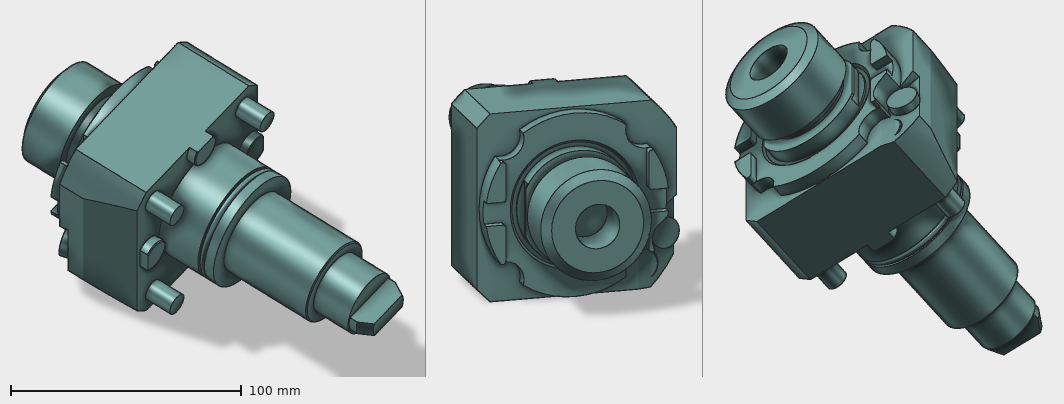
import cadquery as cq
import math


body_front = -38.6
body_half_height = 42.5
body_side_y = 42.5
body_slope_side_y = -47.8
body_rear_slope_y = -42.9
body_slope_start = -25.8
body_corner_radius = 56.0
body_chamfer = 6.0

plate_front = -44.6
plate_radius = 41.5
plate_hub_radius = 36.28
plate_root = -34.0
notch_offset = 32.0
notch_radius = 9.0
bore_radius = 28.1
bore_chamfer = 1.1
tab_front = -48.5
tab_inner_y = 32.4
tab_slot_half_width = 5.2
tab_fillet = 1.2

nut_front = -79.0
nut_rear = -56.5
nut_radius = 25.0
nut_chamfer_length = 2.4
nut_chamfer_depth = 4.2
nut_bore_radius = 10.0
nut_bore_depth = 19.0
neck_radius = 20.0
neck_end = -52.2
throat_radius = 19.2
ring_front = -50.5
ring_radius = 26.2
ring_lip = 1.1
ring_lip_half_width = 23.9
ring_flat_half_width = 22.8

flange_radius = 27.5
flange_length = 29.8
groove_start = 21.3
groove_end = 24.9
groove_depth = 1.2
seal_radius = 1.4
shank_radius = 20.0
shank_end = 74.9
shank_chamfer = 0.5
journal_radius = 15.0
journal_end = 93.7
tang_end = 104.16
tang_radius = 14.2
tang_cone_start = 97.6
tang_end_radius = 10.7
tang_half_thickness = 4.2

pin_radius = 5.0
pin_length = 13.3
key_length = 4.5
key_radius = 7.5
key_flat_half_width = 5.6
key_chamfer = 0.5
key_reach_y = 40.9
key_reach_z = body_half_height

seat_tilt = math.radians(15)
seat_start_y = -30.6
nozzle_y = -41.44
nozzle_z = -17.7
nozzle_radius = 7.0
nozzle_length = 4.1
clearance_radius = 8.75
clearance_y = -42.6
wall_angle = math.radians(42)
bolt_head_radius = 8.0
bolt_head_front = -36.9
bolt_head_chamfer = 0.4

seat_reach = 60.0


def cylinder_x(x_start, x_end, radius, y=0.0, z=0.0):
    """Cylinder along X between two X positions."""
    plane = cq.Workplane("YZ", origin=(x_start, y, z))
    return plane.circle(radius).extrude(x_end - x_start)


def box(x_range, y_range, z_range):
    """Box given by its limits along each axis."""
    lower = (x_range[0], y_range[0], z_range[0])
    size = (x_range[1] - x_range[0], y_range[1] - y_range[0], z_range[1] - z_range[0])
    return cq.Workplane("XY").box(*size, centered=False).translate(lower)


def turned_about_x(profile):
    """Solid turned about the tool axis from a closed (X, radius) profile."""
    outline = cq.Workplane("XY").polyline(profile).close()
    return outline.revolve(360, (0, 0, 0), (1, 0, 0))


def seat_plane():
    """Workplane on the seat at the nozzle: local x runs outward along the seat, local y is Z."""
    nozzle_x = body_front + (seat_start_y - nozzle_y) * math.tan(seat_tilt)
    plane = cq.Plane(
        origin=(nozzle_x, nozzle_y, nozzle_z),
        xDir=(math.sin(seat_tilt), -math.cos(seat_tilt), 0),
        normal=(-math.cos(seat_tilt), -math.sin(seat_tilt), 0),
    )
    return cq.Workplane(plane)


def wall_point(distance):
    """Point on the wall line, measured from where it touches the nozzle clearance circle."""
    return (
        -clearance_radius * math.sin(wall_angle) + distance * math.cos(wall_angle),
        clearance_radius * math.cos(wall_angle) + distance * math.sin(wall_angle),
    )


def make_body():
    """Square body: chamfers on +Y, round and slope on -Y, and the tilted nozzle seat."""
    plan = [
        (body_front, body_side_y),
        (0, body_side_y),
        (0, body_rear_slope_y),
        (body_slope_start, body_slope_side_y),
        (body_front, body_slope_side_y),
    ]
    block = cq.Workplane("XY").polyline(plan).close().extrude(body_half_height, both=True)
    block = block.edges("|X and >Y").chamfer(body_chamfer)
    rounded = cylinder_x(body_front, 0, body_corner_radius)
    plain_half = box((body_front, 0), (0, body_side_y), (-body_half_height, body_half_height))
    block = block.intersect(rounded.union(plain_half))

    seat_outline = [
        wall_point(-seat_reach),
        wall_point(seat_reach),
        (seat_reach, -seat_reach),
        (-seat_reach, -seat_reach),
    ]
    return block.cut(seat_plane().polyline(seat_outline).close().extrude(seat_reach))


def make_plate():
    """Notched front plate with a chamfered mouth and two slotted tabs."""
    plate = cylinder_x(plate_front, plate_root, plate_radius)
    for y in (-notch_offset, notch_offset):
        for z in (-notch_offset, notch_offset):
            plate = plate.cut(cylinder_x(plate_front, plate_root, notch_radius, y, z))
    plate = plate.union(cylinder_x(plate_front, plate_root, plate_hub_radius))
    mouth = cq.Workplane("YZ", origin=(plate_front, 0, 0)).circle(bore_radius + bore_chamfer)
    plate = plate.cut(mouth.workplane(offset=bore_chamfer).circle(bore_radius).loft(ruled=True))

    tab_half_height = notch_offset - notch_radius
    tab_disc = cylinder_x(tab_front, plate_front, plate_radius)
    for z_start in (-tab_half_height, tab_slot_half_width):
        z_range = (z_start, z_start + tab_half_height - tab_slot_half_width)
        tab = box((tab_front, plate_front), (tab_inner_y, plate_radius), z_range)
        tab = tab.edges("|X and <Y").fillet(tab_fillet).intersect(tab_disc)
        plate = plate.union(tab).union(tab.mirror("XZ"))
    return plate


def cut_nozzle_clearance(plate):
    """Clear the plate and one tab around the nozzle, straight along X."""
    clearance = cq.Workplane("YZ", origin=(tab_front, clearance_y, nozzle_z))
    depth = plate_root - tab_front
    inner_corner = wall_point(0)
    outer_corner = wall_point(seat_reach)
    wall_outline = [
        (0, 0),
        (-inner_corner[0], inner_corner[1]),
        (-outer_corner[0], outer_corner[1]),
        (-seat_reach, 0),
    ]
    round_cut = clearance.circle(clearance_radius).extrude(depth)
    return plate.cut(round_cut).cut(clearance.polyline(wall_outline).close().extrude(depth))


def make_nozzle():
    """Round nozzle standing square on the tilted seat."""
    return seat_plane().circle(nozzle_radius).extrude(nozzle_length)


def make_bolt_head():
    """Bolt head that just breaks through the tilted seat."""
    head = cylinder_x(bolt_head_front, plate_root, bolt_head_radius, -notch_offset, -notch_offset)
    return head.faces("<X").chamfer(bolt_head_chamfer)


def make_nose():
    """Clamping nut and the neck behind it, turned about X."""
    profile = [
        (nut_front, 0),
        (nut_front, nut_radius - nut_chamfer_depth),
        (nut_front + nut_chamfer_length, nut_radius),
        (nut_rear, nut_radius),
        (nut_rear, neck_radius),
        (neck_end, neck_radius),
        (neck_end, throat_radius),
        (body_front, throat_radius),
        (body_front, 0),
    ]
    return turned_about_x(profile).cut(cylinder_x(nut_front, nut_front + nut_bore_depth, nut_bore_radius))


def make_ring():
    """Spanner ring with flats on both Y sides and a slightly wider lip in front."""
    lip_end = ring_front + ring_lip
    z_range = (-ring_radius, ring_radius)
    lip = box((ring_front, lip_end), (-ring_lip_half_width, ring_lip_half_width), z_range)
    grip = box((lip_end, plate_front), (-ring_flat_half_width, ring_flat_half_width), z_range)
    seat = box((plate_front, body_front), (-ring_radius, ring_radius), z_range)
    outline = lip.union(grip).union(seat)
    return cylinder_x(ring_front, body_front, ring_radius).intersect(outline)


def make_shank():
    """Locating flange with seal groove, shank and journal, turned about X."""
    groove_floor = flange_radius - groove_depth
    profile = [
        (body_front, 0),
        (body_front, shank_radius),
        (0, shank_radius),
        (0, flange_radius),
        (groove_start, flange_radius),
        (groove_start, groove_floor),
        (groove_end, groove_floor),
        (groove_end, flange_radius),
        (flange_length, flange_radius),
        (flange_length, shank_radius),
        (shank_end - shank_chamfer, shank_radius),
        (shank_end, shank_radius - shank_chamfer),
        (shank_end, journal_radius),
        (journal_end, journal_radius),
        (journal_end, 0),
    ]
    seal_centre = ((groove_start + groove_end) / 2, flange_radius - seal_radius)
    seal = cq.Workplane("XY").moveTo(*seal_centre).circle(seal_radius)
    return turned_about_x(profile).union(seal.revolve(360, (0, 0, 0), (1, 0, 0)))


def make_tang():
    """Flat driving tang with a tapered end."""
    profile = [
        (journal_end, 0),
        (journal_end, tang_radius),
        (tang_cone_start, tang_radius),
        (tang_end, tang_end_radius),
        (tang_end, 0),
    ]
    blade = box(
        (journal_end, tang_end),
        (-tang_radius, tang_radius),
        (-tang_half_thickness, tang_half_thickness),
    )
    return turned_about_x(profile).intersect(blade)


def add_rear_pins(part):
    """Four pins at the corners of the mounting face."""
    for y in (-notch_offset, notch_offset):
        for z in (-notch_offset, notch_offset):
            part = part.union(cylinder_x(0, pin_length, pin_radius, y, z))
    return part


def add_rear_keys(part):
    """Four round buttons, each with a flat on its outward side."""
    flat_offset = math.sqrt(key_radius**2 - key_flat_half_width**2)
    for quarter_turn, reach in enumerate((key_reach_y, key_reach_z) * 2):
        button = cylinder_x(0, key_length, key_radius, reach - flat_offset)
        button = button.faces(">X").chamfer(key_chamfer)
        key = button.intersect(box((0, key_length), (0, reach), (-key_radius, key_radius)))
        part = part.union(key.rotate((0, 0, 0), (1, 0, 0), 90 * quarter_turn))
    return part


result = make_body().union(cut_nozzle_clearance(make_plate()))
result = result.union(make_nozzle()).union(make_bolt_head())
result = result.union(make_nose()).union(make_ring())
result = result.union(make_shank()).union(make_tang())
result = add_rear_pins(result)
result = add_rear_keys(result)